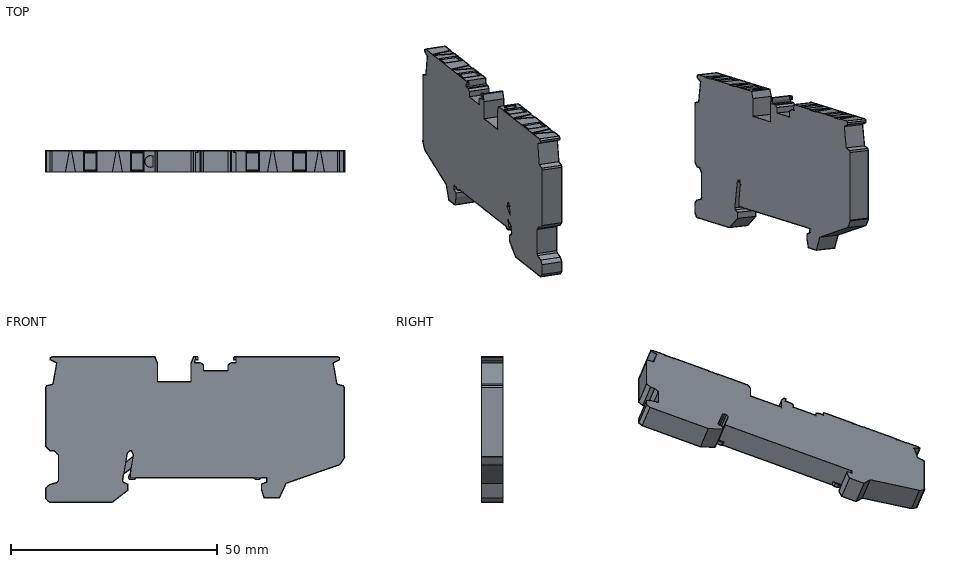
import cadquery as cq

LENGTH = 72.3
THICKNESS = 5.2
HEIGHT = 35.25

SIDE_WALL_X = 72.15
MID_X = SIDE_WALL_X / 2
EDGE_Z = 5.95
FOOT_Z = 5.5
ROOT_Z = 7.4
STEP_Z = 33.8

GAP_LEFT, GAP_RIGHT, GAP_FLOOR = 27.05, 35.1, 29.2
GAP_LEAN_Z = 33.6
GAP_LEAN = 0.65
NOTCH_LEFT, NOTCH_RIGHT, NOTCH_FLOOR = 38.15, 44.05, 31.85
NOTCH_CHAMFER = 0.6
NOTCH_EASE, NOTCH_EASE_DROP = 0.3, 0.1
FINGER_ROOT_X, FINGER_TIP_X = 36.0, 36.2
RIGHT_BLOCK_X = 46.05
RIGHT_BLOCK_LEAN = 0.1

CONTACT_DEPTH = 0.9
HOOK_DEPTH = 0.45
HOOK_REACH = 0.65
HOOK_DROP = 0.8
HOOK_CHAMFER = 0.2

WINDOW_LENGTH, WINDOW_WIDTH = 3.3, 4.5
WINDOW_INSET = 0.22
WINDOW_DEPTH = 0.25
WINDOW_X = 10.8
WEDGE_X = 6.0
WEDGE_BASE, WEDGE_TIP = 2.45, 0.55
WEDGE_END_Y = 5.1
WEDGE_DEPTH = 0.15
RECESS_PER_END = 2
RECESS_PITCH = 11.33
DIMPLE_X, DIMPLE_RADIUS, DIMPLE_FLAT_X = 25.35, 1.4, 26.0
DIMPLE_DEPTH = 0.2


def mirror_x(x):
    """Matching X position on the other side of the middle plane."""
    return 2 * MID_X - x


def extrude_profile(points, y_front, y_back):
    """Prism with an XZ outline between two Y positions."""
    face = cq.Workplane("XZ", origin=(0, y_front, 0)).polyline(points).close()
    return face.extrude(y_front - y_back)


LEFT_LIP = [
    (0, 27.75),
    (0.2, 28.2),
    (1.75, 28.6),
    (2.65, 33.7),
    (1.1, 34.45),
    (1.1, 34.9),
    (1.6, HEIGHT),
]
RIGHT_LIP = [(mirror_x(x), z) for x, z in reversed(LEFT_LIP)]

CENTRE_TOP = [
    (GAP_LEFT - GAP_LEAN, HEIGHT),
    (GAP_LEFT, GAP_LEAN_Z),
    (GAP_LEFT, GAP_FLOOR),
    (GAP_RIGHT, GAP_FLOOR),
    (GAP_RIGHT, GAP_LEAN_Z),
    (GAP_RIGHT + GAP_LEAN, HEIGHT),
    (FINGER_TIP_X, HEIGHT),
    (FINGER_TIP_X, HEIGHT - HOOK_DROP),
    (FINGER_ROOT_X, STEP_Z),
    (NOTCH_LEFT - NOTCH_CHAMFER - NOTCH_EASE, STEP_Z),
    (NOTCH_LEFT - NOTCH_CHAMFER, STEP_Z - NOTCH_EASE_DROP),
    (NOTCH_LEFT, STEP_Z - NOTCH_CHAMFER),
    (NOTCH_LEFT, NOTCH_FLOOR),
    (NOTCH_RIGHT, NOTCH_FLOOR),
    (NOTCH_RIGHT, STEP_Z - NOTCH_CHAMFER),
    (NOTCH_RIGHT + NOTCH_CHAMFER, STEP_Z - NOTCH_EASE_DROP),
    (NOTCH_RIGHT + NOTCH_CHAMFER + NOTCH_EASE, STEP_Z),
    (RIGHT_BLOCK_X - RIGHT_BLOCK_LEAN, STEP_Z),
    (RIGHT_BLOCK_X, HEIGHT),
]

RIGHT_END = [
    (SIDE_WALL_X, 11.1),
    (LENGTH, 10.95),
    (71.3, 9.4),
    (70.9, 9.05),
    (58.1, 4.6),
    (56.5, 1.1),
]

RIGHT_HOOK = [
    (52.75, 1.1),
    (52.1, 3.2),
    (52.1, 4.4),
    (53.4, 4.95),
    (53.4, EDGE_Z),
]

SPRING_SLOT = [
    (20.45, EDGE_Z),
    (20.5, 7.4),
    (21.2, 11.4),
    (20.75, 12.45),
    (20.3, 12.45),
    (19.75, 11.85),
    (18.6, 5.3),
]

LEFT_FOOT = [
    (18.85, 4.85),
    (19.85, 4.4),
    (19.85, 2.9),
    (16.05, 0),
    (0.9, 0),
    (0, 0.9),
    (0, 3.45),
    (0.9, 4.3),
    (2.75, 4.85),
    (3.07, 5.25),
    (3.07, 11.45),
    (2.1, 12.45),
    (1.05, 12.45),
    (0, 13.5),
]

OUTLINE = LEFT_LIP + CENTRE_TOP + RIGHT_LIP + RIGHT_END + RIGHT_HOOK + SPRING_SLOT + LEFT_FOOT


def make_hook(root_x, direction):
    """Small catch at the back of the top face, reaching over a ledge."""
    tip_x = root_x + direction * HOOK_REACH
    bottom = HEIGHT - HOOK_DROP
    points = [
        (root_x - direction * HOOK_CHAMFER, HEIGHT),
        (tip_x - direction * HOOK_CHAMFER, HEIGHT),
        (tip_x, HEIGHT - HOOK_CHAMFER),
        (tip_x, bottom),
        (root_x, bottom),
        (root_x - direction * HOOK_CHAMFER, bottom + HOOK_CHAMFER),
    ]
    return extrude_profile(points, THICKNESS - HOOK_DEPTH, THICKNESS)


def make_contact():
    """Rail contact at the back: a bar across the slot and two feet below the edge."""
    bar = [(21.3, 11.3), (19.2, 9.6), (18.75, 6.8), (20.8, 8.3)]
    left_foot = [
        (20.6, ROOT_Z),
        (20.05, 6.3),
        (20.05, 5.85),
        (20.3, FOOT_Z),
        (21.5, FOOT_Z),
        (21.8, EDGE_Z),
        (21.8, ROOT_Z),
    ]
    right_foot = [
        (50.2, ROOT_Z),
        (50.2, EDGE_Z),
        (50.75, FOOT_Z),
        (51.6, FOOT_Z),
        (52.15, EDGE_Z),
        (52.15, ROOT_Z),
    ]
    front = THICKNESS - CONTACT_DEPTH
    pieces = [extrude_profile(points, front, THICKNESS) for points in (bar, left_foot, right_foot)]
    return pieces[0].union(pieces[1]).union(pieces[2])


def top_plane():
    """Workplane on the top face."""
    return cq.Workplane("XY", origin=(0, 0, HEIGHT))


def cut_window(body, x):
    """Shallow rectangular label recess with sloping walls."""
    opening = top_plane().center(x, THICKNESS / 2).rect(WINDOW_LENGTH, WINDOW_WIDTH)
    floor = opening.workplane(offset=-WINDOW_DEPTH).rect(
        WINDOW_LENGTH - 2 * WINDOW_INSET, WINDOW_WIDTH - 2 * WINDOW_INSET
    )
    return body.cut(floor.loft(ruled=True))


def cut_wedge(body, x):
    """Shallow tapering groove that opens on the front face."""
    points = [
        (x - WEDGE_BASE / 2, 0),
        (x + WEDGE_BASE / 2, 0),
        (x + WEDGE_TIP / 2, WEDGE_END_Y),
        (x - WEDGE_TIP / 2, WEDGE_END_Y),
    ]
    return body.cut(top_plane().polyline(points).close().extrude(-WEDGE_DEPTH))


def cut_dimple(body):
    """Shallow round recess with a flat on its +X side."""
    disc = top_plane().center(DIMPLE_X, THICKNESS / 2).circle(DIMPLE_RADIUS).extrude(-DIMPLE_DEPTH)
    beyond_flat = (
        top_plane()
        .center(DIMPLE_FLAT_X + DIMPLE_RADIUS, THICKNESS / 2)
        .rect(2 * DIMPLE_RADIUS, 2 * DIMPLE_RADIUS)
        .extrude(-DIMPLE_DEPTH)
    )
    return body.cut(disc.cut(beyond_flat))


body = extrude_profile(OUTLINE, 0, THICKNESS)
body = body.union(make_hook(FINGER_TIP_X, 1))
body = body.union(make_hook(RIGHT_BLOCK_X, -1))
body = body.union(make_contact())

for position in range(RECESS_PER_END):
    shift = position * RECESS_PITCH
    for x in (WINDOW_X + shift, mirror_x(WINDOW_X + shift)):
        body = cut_window(body, x)
    for x in (WEDGE_X + shift, mirror_x(WEDGE_X + shift)):
        body = cut_wedge(body, x)

result = cut_dimple(body)